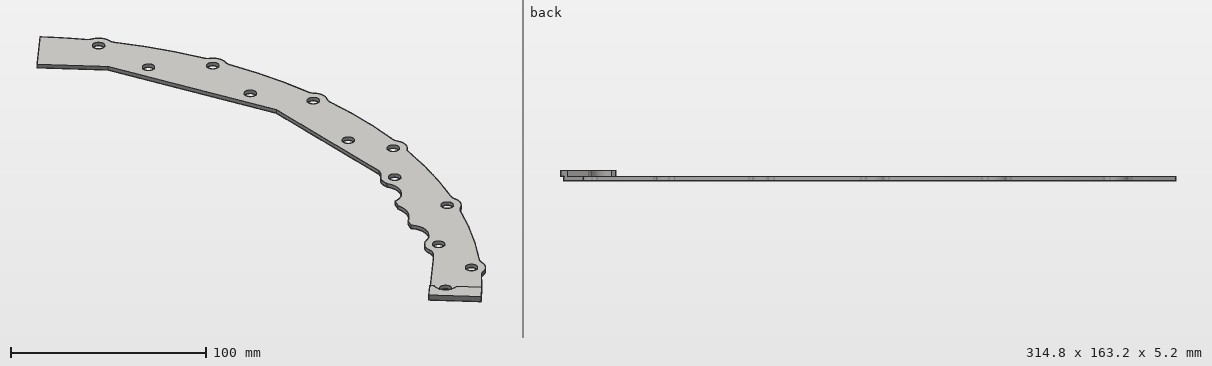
import cadquery as cq
import math

plate_thickness = 2.2
tab_thickness = 3.0

outer_radius = 240.5
end_angle_left = -22.5
end_angle_right = 67.5
middle_angle = 45.0
flat_angles = [-22.5, 0, 22.5, 45, 67.5]
top_flat_distance = 211.5
side_flat_distance = 213.7
end_gap = 0.3
plate_setback = 2.0
tab_overhang = 2.2
tab_start = 7.0

hole_radius = 3.0
boss_radius = 7.2
boss_fillet = 5.0
outer_hole_circle = 235.7
outer_hole_angles = [-15, 0, 15, 30, 45, 60]
inner_hole_circle = 222.0
boss_hole_offset = 8.9
inner_boss_angles = [middle_angle - boss_hole_offset, middle_angle + boss_hole_offset]
tab_hole_angle = 65
inner_plain_angles = [-7.5, 7.5, 25, tab_hole_angle]
tab_scoop_radius = 6.3
tab_scoop_fillet = 2.5

lobe_distance = 211.8
notch_radius = 10.0
notch_distance = 207.7
notch_offset = 21.5
recess_radius = 12.5
recess_top = 214.3

reach = 2 * outer_radius


def polar(radius, angle):
    a = math.radians(angle)
    return radius * math.sin(a), radius * math.cos(a)


def turned(radial, along, angle):
    """Point at a radial distance and clockwise offset in a frame turned to an angle."""
    x, y = polar(radial, angle)
    dx, dy = polar(along, angle + 90)
    return x + dx, y + dy


def cylinders(points, radius, height):
    return cq.Workplane("XY").pushPoints(points).circle(radius).extrude(height)


def block(radial_from, radial_to, along_from, along_to, angle, height):
    corners = [
        turned(radial_from, along_from, angle),
        turned(radial_to, along_from, angle),
        turned(radial_to, along_to, angle),
        turned(radial_from, along_to, angle),
    ]
    return cq.Workplane("XY").polyline(corners).close().extrude(height)


def ring_segment(right_end, height):
    """Outer arc, straight inner flats and two end faces; right_end is past the radial line."""
    body = cq.Workplane("XY").circle(outer_radius).extrude(height)
    flats = cq.Workplane("XY").rect(2 * reach, 2 * reach).extrude(height)
    for angle in flat_angles:
        distance = top_flat_distance if angle == 0 else side_flat_distance
        flats = flats.cut(block(distance, 2 * reach, -reach, reach, angle, height))
    body = body.cut(flats)
    body = body.cut(block(-reach, reach, -reach, end_gap, end_angle_left, height))
    return body.cut(block(-reach, reach, right_end, reach, end_angle_right, height))


def fillet_around(body, centers, rim_radius, fillet_radius):
    """Round the upright edges that lie on a rim of given radius around any centre."""
    rims = cylinders(centers, rim_radius, plate_thickness + tab_thickness)
    rim_faces = rims.faces("not |Z").vals()
    edges = [
        e for e in body.edges("|Z").vals()
        if any(e.distance(face) < 0.0003 for face in rim_faces)
    ]
    return body.newObject(edges).fillet(fillet_radius)


outer_holes = [polar(outer_hole_circle, a) for a in outer_hole_angles]
inner_bosses = [polar(inner_hole_circle, a) for a in inner_boss_angles]
plain_holes = [polar(inner_hole_circle, a) for a in inner_plain_angles]
bossed_holes = outer_holes + inner_bosses

plate = ring_segment(-plate_setback, plate_thickness)
plate = plate.union(cylinders(bossed_holes, boss_radius, plate_thickness))
plate = fillet_around(plate, bossed_holes, boss_radius, boss_fillet)

lobe = block(lobe_distance, inner_hole_circle, -notch_offset, notch_offset, middle_angle, plate_thickness)
notch_centers = [turned(notch_distance, s * notch_offset, middle_angle) for s in (-1, 1)]
recess_center = polar(recess_top - recess_radius, middle_angle)
plate = plate.union(lobe)
plate = plate.cut(cylinders(notch_centers, notch_radius, plate_thickness))
plate = plate.cut(cylinders([recess_center], recess_radius, plate_thickness))

tab_hole = [polar(inner_hole_circle, tab_hole_angle)]
tab = ring_segment(tab_overhang, tab_thickness)
tab = tab.cut(block(-reach, reach, -reach, -tab_start, end_angle_right, tab_thickness))
tab = tab.cut(block(-reach, 0, -reach, reach, end_angle_right, tab_thickness))
tab = tab.cut(cylinders(tab_hole, tab_scoop_radius, tab_thickness))
scoop_corner = cq.selectors.NearestToPointSelector(
    (*turned(inner_hole_circle + tab_scoop_radius, -tab_start, end_angle_right), tab_thickness / 2)
)
tab = tab.edges("|Z").edges(scoop_corner).fillet(tab_scoop_fillet)

result = plate.union(tab.translate((0, 0, plate_thickness)))
result = result.cut(cylinders(bossed_holes + plain_holes, hole_radius, plate_thickness))